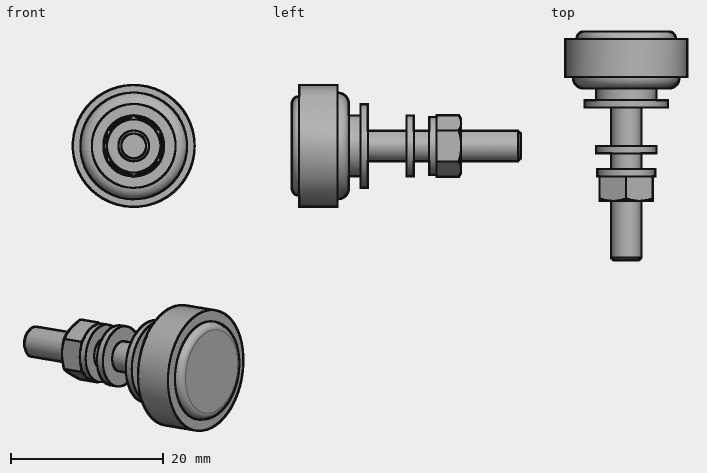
import cadquery as cq
import math

total_length = 30.0

cap_radius = 6.5
cap_height = 1.0
cap_round = 1.0
drum_diameter = 16.0
drum_radius = drum_diameter / 2
drum_height = 5.0
shoulder_radius = 7.0
shoulder_height = 1.5
shoulder_round = 1.5
neck_radius = 4.0
neck_height = 1.5
flange_radius = 5.5
flange_height = 1.0
stud_radius = 2.0
stud_chamfer = 0.4

washer_thickness = 1.0
plain_washer_radius = 4.0
plain_washer_start = 15.0
spring_washer_radius = 3.8
spring_washer_start = 18.0
nut_start = spring_washer_start + washer_thickness
nut_across_flats = 7.0
nut_height = 3.2
nut_face_radius = nut_across_flats / 2
nut_corner_radius = nut_across_flats / math.sqrt(3)
nut_chamfer_angle = 30.0


def axial_plane(start):
    """Plane at a station along the axis, with its normal pointing toward -Y."""
    return cq.Workplane("XZ", origin=(0, -start, 0))


def cylinder(radius, start, height):
    return axial_plane(start).circle(radius).extrude(height)


def make_terminal():
    drum_start = cap_height
    shoulder_start = drum_start + drum_height
    neck_start = shoulder_start + shoulder_height
    flange_start = neck_start + neck_height
    cap_arc_offset = cap_round * math.sqrt(0.5)
    shoulder_arc_offset = shoulder_round * math.sqrt(0.5)
    profile = (
        cq.Workplane("XY")
        .lineTo(cap_radius - cap_round, 0)
        .threePointArc(
            (cap_radius - cap_round + cap_arc_offset, -cap_round + cap_arc_offset),
            (cap_radius, -cap_round),
        )
        .lineTo(drum_radius, -drum_start)
        .lineTo(drum_radius, -shoulder_start)
        .lineTo(shoulder_radius, -shoulder_start)
        .threePointArc(
            (
                shoulder_radius - shoulder_round + shoulder_arc_offset,
                -shoulder_start - shoulder_arc_offset,
            ),
            (shoulder_radius - shoulder_round, -neck_start),
        )
        .lineTo(neck_radius, -neck_start)
        .lineTo(neck_radius, -flange_start)
        .lineTo(flange_radius, -flange_start)
        .lineTo(flange_radius, -flange_start - flange_height)
        .lineTo(stud_radius, -flange_start - flange_height)
        .lineTo(stud_radius, -total_length + stud_chamfer)
        .lineTo(stud_radius - stud_chamfer, -total_length)
        .lineTo(0, -total_length)
        .close()
    )
    return profile.revolve(360, (0, 0, 0), (0, 1, 0))


def make_washer(radius, start):
    return axial_plane(start).circle(radius).circle(stud_radius).extrude(washer_thickness)


def make_nut():
    hexagon = (
        axial_plane(nut_start)
        .transformed(rotate=(0, 0, 90))
        .polygon(6, 2 * nut_corner_radius)
        .extrude(nut_height)
    )
    chamfer_width = nut_corner_radius - nut_face_radius
    chamfer_depth = chamfer_width * math.tan(math.radians(nut_chamfer_angle))
    nut_end = nut_start + nut_height
    envelope = (
        cq.Workplane("XY")
        .moveTo(0, -nut_start)
        .lineTo(nut_corner_radius, -nut_start)
        .lineTo(nut_corner_radius, -nut_end + chamfer_depth)
        .lineTo(nut_face_radius, -nut_end)
        .lineTo(0, -nut_end)
        .close()
        .revolve(360, (0, 0, 0), (0, 1, 0))
    )
    bore = cylinder(stud_radius, nut_start, nut_height)
    return hexagon.intersect(envelope).cut(bore)


terminal = make_terminal()
plain_washer = make_washer(plain_washer_radius, plain_washer_start)
spring_washer = make_washer(spring_washer_radius, spring_washer_start)
nut = make_nut()

result = cq.Compound.makeCompound(
    [terminal.val(), plain_washer.val(), spring_washer.val(), nut.val()]
)